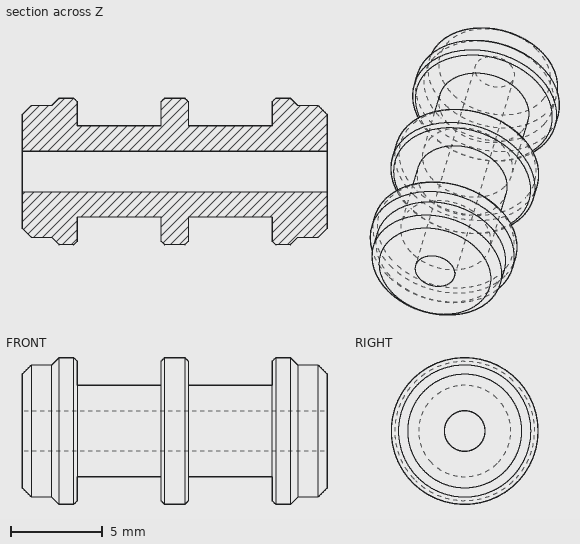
import cadquery as cq

total_length = 16.6
bore_diameter = 2.2
shaft_diameter = 5.0

flange_diameter = 8.0
flange_edge_chamfer = 0.2
middle_flange_width = 1.5

head_length = 3.0
nose_diameter = 7.2
nose_length = 1.6
nose_chamfer = 0.5

half_length = total_length / 2
step_height = (flange_diameter - nose_diameter) / 2


def cylinder(diameter, start_x, length):
    """Solid cylinder along +X, starting at start_x."""
    return cq.Workplane("YZ", origin=(start_x, 0, 0)).circle(diameter / 2).extrude(length)


def shaft():
    return cylinder(shaft_diameter, -half_length, total_length)


def middle_flange():
    flange = cylinder(flange_diameter, -middle_flange_width / 2, middle_flange_width)
    return flange.edges().chamfer(flange_edge_chamfer)


def left_head():
    """End flange whose outer 45 degree slope runs down to the chamfered nose."""
    flange_start = -half_length + nose_length
    flange = cylinder(flange_diameter, flange_start, head_length - nose_length)
    flange = flange.faces("<X").edges().chamfer(step_height)
    flange = flange.faces(">X").edges().chamfer(flange_edge_chamfer)
    nose = cylinder(nose_diameter, -half_length, nose_length)
    nose = nose.faces("<X").edges().chamfer(nose_chamfer)
    return flange.union(nose)


def bore():
    return cylinder(bore_diameter, -half_length, total_length)


head = left_head()
result = (
    shaft()
    .union(middle_flange())
    .union(head)
    .union(head.mirror("YZ"))
    .cut(bore())
)